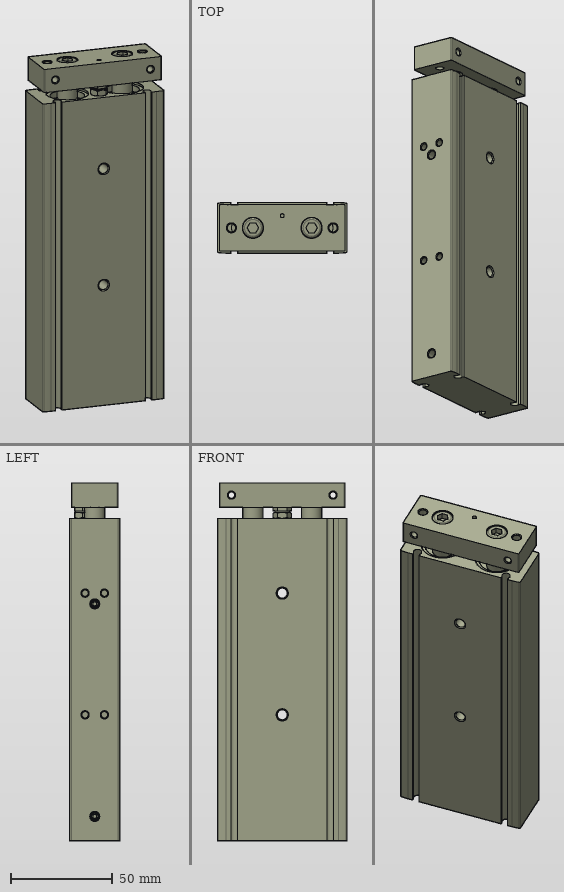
import cadquery as cq
import math

BODY_WIDTH = 64.0
BODY_DEPTH = 25.0
OVERALL_HEIGHT = 176.5
PLATE_WIDTH = 62.0
PLATE_DEPTH = 23
PLATE_THICKNESS = 12.0
PLATE_GAP = 5.5
BODY_HEIGHT = OVERALL_HEIGHT - PLATE_THICKNESS - PLATE_GAP
PLATE_BOTTOM = BODY_HEIGHT + PLATE_GAP

CORNER_RADIUS = 0.7
CROWN_START = 27.7
CROWN_RADIUS = 24.7

GROOVE_X = 23.7
GROOVE_MOUTH = 3.4
GROOVE_DIAMETER = 4.0
GROOVE_NECK = 1.2

MOUNT_HOLE_LEVELS = (62.1, 122.1)
MOUNT_HOLE_DIAMETER = 5.0
MOUNT_HOLE_MOUTH = 6.0
SIDE_HOLE_OFFSET = 4.8
SIDE_HOLE_DIAMETER = 3.2
SIDE_HOLE_MOUTH = 4.0
SIDE_HOLE_DEPTH = 6.0
PORT_LEVELS = (12.0, 116.8)
PORT_DIAMETER = 4.0
PORT_MOUTH = 5.0
PORT_DEPTH = 5.0
PORT_PASSAGE_MOUTH = 3.2
PORT_PASSAGE_DIAMETER = 2.0
PORT_PASSAGE_DEPTH = 2.5

ROD_X = 14.5
ROD_DIAMETER = 10.0
ROD_INSERTION = 17.6
RECESS_DIAMETER = 21.0
RECESS_DEPTH = 1.0
GLAND_DIAMETER = 17.1
GLAND_DEPTH = 4.2

ROD_NECK_DIAMETER = 6.0
HEAD_DIAMETER = 10.0
HEAD_HEIGHT = 6.0
HEAD_FILLET = 0.9
HEAD_POCKET_DIAMETER = 10.5
SOCKET_WIDTH = 5.0
SOCKET_DEPTH = 3.0

PLATE_CORNER_RADIUS = 0.5
PLATE_HOLE_X = 25.0
PLATE_HOLE_DROP = 6.0
CROSS_HOLE_DIAMETER = 3.2
CROSS_HOLE_MOUTH = 4.0
TOP_HOLE_DIAMETER = 4.0
TOP_HOLE_MOUTH = 5.0
STOPPER_ACCESS_DIAMETER = 2.0

STOPPER_Y = 6.0
HEX_WIDTH = 8.0
NUT_HEIGHT = 1.8
BOLT_HEAD_HEIGHT = 3.0
BOLT_DIAMETER = 5.0
COLLAR_DIAMETER = 7.5
BOLT_INSERTION = 7
HEX_BEVEL_HEIGHT = 0.5


def hex_corner_diameter(width):
    """Diameter across the corners of a hexagon of a given width across flats."""
    return width / math.cos(math.pi / 6)


def cylinder(diameter, height, start, direction):
    return cq.Workplane(cq.Solid.makeCylinder(
        diameter / 2, height, cq.Vector(*start), cq.Vector(*direction)))


def countersunk_hole(diameter, mouth, depth, start, direction):
    """Cutting tool for a round hole whose mouth has a 45 degree bevel."""
    bevel = (mouth - diameter) / 2
    cone = cq.Solid.makeCone(
        mouth / 2, diameter / 2, bevel, cq.Vector(*start), cq.Vector(*direction))
    return cylinder(diameter, depth, start, direction).union(cq.Workplane(cone))


def through_hole(diameter, mouth, depth, x, z):
    """Cutting tool along Y through a given depth, bevelled at both mouths."""
    front = countersunk_hole(diameter, mouth, depth, (x, -depth / 2, z), (0, 1, 0))
    back = countersunk_hole(diameter, mouth, depth, (x, depth / 2, z), (0, -1, 0))
    return front.union(back)


def sensor_groove(x, side):
    mouth_y = side * BODY_DEPTH / 2
    half_chord = GROOVE_MOUTH / 2
    axis_depth = GROOVE_NECK + math.sqrt((GROOVE_DIAMETER / 2) ** 2 - half_chord ** 2)
    axis_y = mouth_y - side * axis_depth
    neck = (cq.Workplane().center(x, mouth_y - side * axis_depth / 2)
            .rect(GROOVE_MOUTH, axis_depth).extrude(BODY_HEIGHT))
    return neck.union(cylinder(GROOVE_DIAMETER, BODY_HEIGHT, (x, axis_y, 0), (0, 0, 1)))


def crown_drop(run):
    """How far the crowned strip has fallen after a run outward from its tangent start."""
    return CROWN_RADIUS - math.sqrt(CROWN_RADIUS ** 2 - run ** 2)


def housing_blank():
    half_width = BODY_WIDTH / 2
    half_depth = BODY_DEPTH / 2
    crown_span = half_width - CROWN_START
    edge_y = half_depth - crown_drop(crown_span)
    middle_x = CROWN_START + crown_span / 2
    middle_y = half_depth - crown_drop(crown_span / 2)
    return (cq.Workplane()
            .moveTo(-CROWN_START, half_depth)
            .lineTo(CROWN_START, half_depth)
            .threePointArc((middle_x, middle_y), (half_width, edge_y))
            .lineTo(half_width, -edge_y)
            .threePointArc((middle_x, -middle_y), (CROWN_START, -half_depth))
            .lineTo(-CROWN_START, -half_depth)
            .threePointArc((-middle_x, -middle_y), (-half_width, -edge_y))
            .lineTo(-half_width, edge_y)
            .threePointArc((-middle_x, middle_y), (-CROWN_START, half_depth))
            .close().extrude(BODY_HEIGHT)
            .edges("|Z and (<X or >X)").fillet(CORNER_RADIUS))


def make_housing():
    housing = housing_blank()
    for side in (-1, 1):
        for x in (-GROOVE_X, GROOVE_X):
            housing = housing.cut(sensor_groove(x, side))

    side_x = -BODY_WIDTH / 2
    for z in MOUNT_HOLE_LEVELS:
        housing = housing.cut(through_hole(MOUNT_HOLE_DIAMETER, MOUNT_HOLE_MOUTH, BODY_DEPTH, 0, z))
        for y in (-SIDE_HOLE_OFFSET, SIDE_HOLE_OFFSET):
            housing = housing.cut(countersunk_hole(
                SIDE_HOLE_DIAMETER, SIDE_HOLE_MOUTH, SIDE_HOLE_DEPTH, (side_x, y, z), (1, 0, 0)))

    for z in PORT_LEVELS:
        start = (side_x, 0, z)
        housing = housing.cut(countersunk_hole(PORT_DIAMETER, PORT_MOUTH, PORT_DEPTH, start, (1, 0, 0)))
        housing = housing.cut(countersunk_hole(
            PORT_PASSAGE_DIAMETER, PORT_PASSAGE_MOUTH, PORT_PASSAGE_DEPTH,
            (side_x + PORT_DEPTH, 0, z), (1, 0, 0)))

    for x in (-ROD_X, ROD_X):
        top = (x, 0, BODY_HEIGHT)
        housing = housing.cut(cylinder(RECESS_DIAMETER, RECESS_DEPTH, top, (0, 0, -1)))
        housing = housing.cut(cylinder(GLAND_DIAMETER, GLAND_DEPTH, top, (0, 0, -1)))
        housing = housing.cut(cylinder(ROD_DIAMETER, ROD_INSERTION, top, (0, 0, -1)))
    return housing


def make_plate():
    plate = (cq.Workplane().workplane(offset=PLATE_BOTTOM)
             .rect(PLATE_WIDTH, PLATE_DEPTH).extrude(PLATE_THICKNESS)
             .edges("|Z").fillet(PLATE_CORNER_RADIUS))
    down = (0, 0, -1)
    for x in (-PLATE_HOLE_X, PLATE_HOLE_X):
        plate = plate.cut(through_hole(
            CROSS_HOLE_DIAMETER, CROSS_HOLE_MOUTH, PLATE_DEPTH, x, OVERALL_HEIGHT - PLATE_HOLE_DROP))
        plate = plate.cut(countersunk_hole(
            TOP_HOLE_DIAMETER, TOP_HOLE_MOUTH, PLATE_THICKNESS, (x, 0, OVERALL_HEIGHT), down))
    for x in (-ROD_X, ROD_X):
        top = (x, 0, OVERALL_HEIGHT)
        plate = plate.cut(cylinder(HEAD_POCKET_DIAMETER, HEAD_HEIGHT, top, down))
        plate = plate.cut(cylinder(ROD_NECK_DIAMETER, PLATE_THICKNESS, top, down))
    plate = plate.cut(cylinder(
        STOPPER_ACCESS_DIAMETER, PLATE_THICKNESS, (0, STOPPER_Y, OVERALL_HEIGHT), down))
    return plate.cut(cylinder(BOLT_DIAMETER, BOLT_INSERTION, (0, STOPPER_Y, PLATE_BOTTOM), (0, 0, 1)))


def make_rod(x):
    base_z = BODY_HEIGHT - ROD_INSERTION
    head_z = OVERALL_HEIGHT - HEAD_HEIGHT
    up = (0, 0, 1)
    head = cylinder(HEAD_DIAMETER, HEAD_HEIGHT, (x, 0, head_z), up).faces(">Z").edges().fillet(HEAD_FILLET)
    socket = (cq.Workplane().workplane(offset=OVERALL_HEIGHT - SOCKET_DEPTH).center(x, 0)
              .polygon(6, hex_corner_diameter(SOCKET_WIDTH)).extrude(SOCKET_DEPTH))
    return (cylinder(ROD_DIAMETER, PLATE_BOTTOM - base_z, (x, 0, base_z), up)
            .union(cylinder(ROD_NECK_DIAMETER, head_z - PLATE_BOTTOM, (x, 0, PLATE_BOTTOM), up))
            .union(head)
            .cut(socket))


def hexagon(base_z, height):
    return (cq.Workplane().workplane(offset=base_z).center(0, STOPPER_Y)
            .polygon(6, hex_corner_diameter(HEX_WIDTH)).extrude(height))


def make_lock_nut():
    base_z = PLATE_BOTTOM - NUT_HEIGHT
    bore = cylinder(BOLT_DIAMETER, NUT_HEIGHT, (0, STOPPER_Y, base_z), (0, 0, 1))
    return hexagon(base_z, NUT_HEIGHT).cut(bore)


def make_stopper_bolt():
    """Hexagon head with bevelled corners, a thin collar up to the nut, and the shank."""
    nut_z = PLATE_BOTTOM - NUT_HEIGHT
    head_z = BODY_HEIGHT + BOLT_HEAD_HEIGHT
    corner_diameter = hex_corner_diameter(HEX_WIDTH)
    overhang = (corner_diameter - HEX_WIDTH) / 2
    envelope = (cylinder(corner_diameter, BOLT_HEAD_HEIGHT, (0, STOPPER_Y, BODY_HEIGHT), (0, 0, 1))
                .faces("<Z or >Z").chamfer(HEX_BEVEL_HEIGHT, overhang))
    collar = cylinder(COLLAR_DIAMETER, nut_z - head_z, (0, STOPPER_Y, head_z), (0, 0, 1))
    shank = cylinder(BOLT_DIAMETER, NUT_HEIGHT + BOLT_INSERTION, (0, STOPPER_Y, nut_z), (0, 0, 1))
    return (hexagon(BODY_HEIGHT, BOLT_HEAD_HEIGHT).intersect(envelope)
            .union(collar)
            .union(shank))


housing = make_housing()
plate = make_plate()
rods = [make_rod(x) for x in (-ROD_X, ROD_X)]
lock_nut = make_lock_nut()
stopper_bolt = make_stopper_bolt()

result = cq.Compound.makeCompound([
    housing.val(),
    plate.val(),
    *[rod.val() for rod in rods],
    lock_nut.val(),
    stopper_bolt.val(),
])